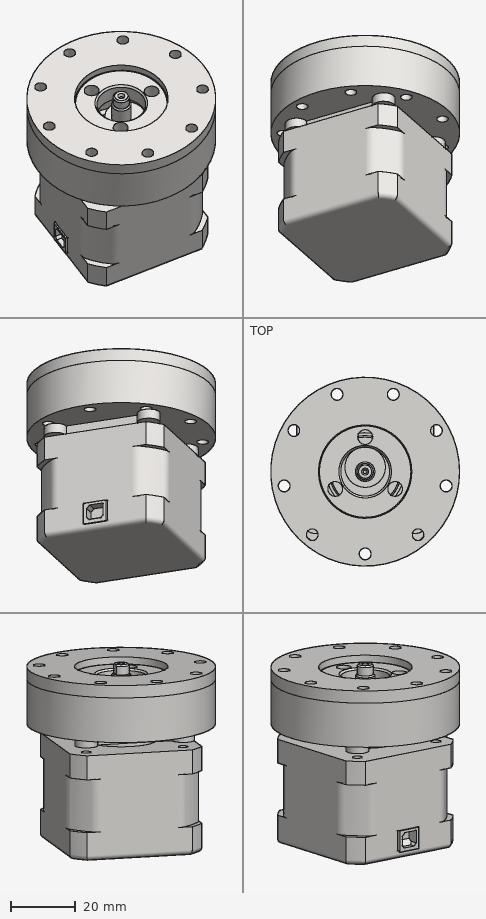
import cadquery as cq

total_height = 57.15
motor_top = 33.2
boss_top = 35.15
post_bottom = 35.2
housing_bottom = 38.25
housing_top = 52.3
cover_top = 56.2

motor_width = 42.3
motor_half = motor_width / 2
cap_corner_radius = 27.05
waist_corner_radius = 25.25
waist_fillet = 4.0
waist_bottom = 9.0
waist_top = 25.6
motor_base_fillet = 1.5
boss_diameter = 22.2
boss_chamfer = 0.45
bolt_spacing = 31.0
bolt_hole_diameter = 3.0
bolt_hole_depth = 4.5
shaft_diameter = 5.0
shaft_chamfer = 0.45
shaft_flat_offset = 2.0
shaft_flat_depth = 14.0
center_mouth_diameter = 2.15
center_hole_diameter = 1.15
center_cone_depth = 0.9
center_hole_depth = 1.75

slot_width = 8.3
slot_bottom = 2.5
slot_top = waist_bottom
slot_depth = 4.65
socket_left = -3.6
socket_right = 3.85
socket_bottom = 2.1
socket_protrusion = 0.5
mouth_left = -2.7
mouth_right = 2.8
mouth_top = 8.1
mouth_bottom = 3.25
mouth_top_chamfer = 1.05
mouth_bottom_chamfer = 0.9
ramp_top = 4.9
mouth_ramp_start = 1.7
mouth_depth = 3.5

gearbox_diameter = 58.3
cover_recess_diameter = 28.8
floor_bore_diameter = 24.0
screw_count = 9
screw_hole_diameter = 3.55
screw_circle_radius = 25.35
post_diameter = 7.1

carrier_diameter = 28.15
carrier_bottom = 48.4
carrier_top = 54.0
carrier_bore_diameter = 15.05
carrier_bore_chamfer = 0.6
carrier_hole_count = 3
carrier_hole_diameter = 4.55
carrier_hole_radius = 10.65

neck_diameter = 6.0
neck_top = carrier_top
neck_chamfer = 0.45
lobe_diameter = 12.5
lobe_offset = 1.4
lobe_top = 47.8
lobe_bottom = 40.8


def cylinder(diameter, bottom, top):
    return cq.Workplane("XY").workplane(offset=bottom).circle(diameter / 2).extrude(top - bottom)


def box(left, right, front, back, bottom, top):
    return cq.Workplane("XY").box(
        right - left, back - front, top - bottom, centered=False
    ).translate((left, front, bottom))


def hole_circle(count, radius, start_angle, diameter, bottom, top):
    """Upright cylinders evenly spaced on a circle around the axis."""
    return (
        cq.Workplane("XY")
        .workplane(offset=bottom)
        .polarArray(radius, start_angle, 360, count)
        .circle(diameter / 2)
        .extrude(top - bottom)
    )


def corner_cylinders(diameter, bottom, top):
    """Upright cylinders on the four corners of the bolt pattern."""
    return (
        cq.Workplane("XY")
        .workplane(offset=bottom)
        .rect(bolt_spacing, bolt_spacing, forConstruction=True)
        .vertices()
        .circle(diameter / 2)
        .extrude(top - bottom)
    )


def round_cornered_block(corner_radius, bottom, top):
    """The motor's square with its corners turned to a radius around the axis."""
    square = box(-motor_half, motor_half, -motor_half, motor_half, bottom, top)
    return square.intersect(cylinder(2 * corner_radius, bottom, top))


def shaft_envelope(bottom, top):
    """Round shaft with a flat on its +Y side near the top."""
    radius = shaft_diameter / 2
    flat = box(-radius, radius, shaft_flat_offset, radius, total_height - shaft_flat_depth, total_height)
    return cylinder(shaft_diameter, bottom, top).cut(flat)


def center_hole():
    """Countersunk centre hole with a conical end, in the top of the shaft."""
    mouth_radius = center_mouth_diameter / 2
    hole_radius = center_hole_diameter / 2
    profile = [
        (0, total_height),
        (mouth_radius, total_height),
        (hole_radius, total_height - center_cone_depth),
        (hole_radius, total_height - center_hole_depth),
        (0, total_height - center_hole_depth - hole_radius),
    ]
    return cq.Workplane("XZ").polyline(profile).close().revolve(360, (0, 0), (0, 1))


def make_motor():
    bottom_cap = round_cornered_block(cap_corner_radius, 0, waist_bottom)
    bottom_cap = bottom_cap.faces("<Z").edges().fillet(motor_base_fillet)
    waist = round_cornered_block(waist_corner_radius, waist_bottom, waist_top)
    waist = waist.edges("|Z").fillet(waist_fillet)
    top_cap = round_cornered_block(cap_corner_radius, waist_top, motor_top)
    boss = cylinder(boss_diameter, motor_top, boss_top).faces(">Z").chamfer(boss_chamfer)
    chamfered_rod = cylinder(shaft_diameter, boss_top, total_height).faces(">Z").chamfer(shaft_chamfer)
    motor_shaft = chamfered_rod.intersect(shaft_envelope(boss_top, total_height))
    slot = box(
        -slot_width / 2, slot_width / 2, -motor_half, -motor_half + slot_depth, slot_bottom, slot_top
    )
    bolt_holes = corner_cylinders(bolt_hole_diameter, motor_top - bolt_hole_depth, motor_top)

    body = bottom_cap.union(waist).union(top_cap).union(boss)
    body = body.union(motor_shaft)
    return body.cut(slot).cut(bolt_holes).cut(center_hole())


def make_socket():
    front = -motor_half - socket_protrusion
    back = -motor_half + slot_depth
    insert = box(socket_left, socket_right, -motor_half, back, slot_bottom, slot_top)
    flange = box(socket_left, socket_right, front, -motor_half, socket_bottom, slot_top)

    mouth = (
        cq.Workplane("XZ", origin=(0, front, 0))
        .moveTo(mouth_left, mouth_bottom + mouth_bottom_chamfer)
        .lineTo(mouth_left, mouth_top - mouth_top_chamfer)
        .lineTo(mouth_left + mouth_top_chamfer, mouth_top)
        .lineTo(mouth_right, mouth_top)
        .lineTo(mouth_right, mouth_bottom + mouth_bottom_chamfer)
        .lineTo(mouth_right - mouth_bottom_chamfer, mouth_bottom)
        .lineTo(mouth_left + mouth_bottom_chamfer, mouth_bottom)
        .close()
        .extrude(-mouth_depth)
    )
    ramp = (
        cq.Workplane("YZ", origin=(mouth_left, 0, 0))
        .moveTo(front + mouth_ramp_start, mouth_bottom)
        .lineTo(front + mouth_depth, ramp_top)
        .lineTo(front + mouth_depth, mouth_bottom)
        .close()
        .extrude(mouth_right - mouth_left)
    )
    return insert.union(flange).cut(mouth.cut(ramp))


def screw_holes():
    return hole_circle(
        screw_count, screw_circle_radius, -90, screw_hole_diameter, housing_bottom, cover_top
    )


def make_housing():
    half_spacing = bolt_spacing / 2
    drum = cylinder(gearbox_diameter, housing_bottom, housing_top)
    foot = box(-half_spacing, half_spacing, -half_spacing, half_spacing, post_bottom, housing_bottom)
    posts = corner_cylinders(post_diameter, post_bottom, housing_bottom)
    floor_bore = cylinder(floor_bore_diameter, post_bottom, housing_bottom)
    cavity = cylinder(carrier_diameter, housing_bottom, housing_top)
    return drum.union(foot).union(posts).cut(floor_bore).cut(cavity).cut(screw_holes())


def make_cover():
    plate = cylinder(gearbox_diameter, housing_top, cover_top)
    bore = cylinder(carrier_diameter, housing_top, cover_top)
    recess = cylinder(cover_recess_diameter, carrier_top, cover_top)
    return plate.cut(bore).cut(recess).cut(screw_holes())


def make_carrier():
    disc = cylinder(carrier_diameter, carrier_bottom, carrier_top)
    disc = disc.cut(cylinder(carrier_bore_diameter, carrier_bottom, carrier_top))
    disc = disc.faces(">Z").edges(cq.selectors.RadiusNthSelector(0)).chamfer(carrier_bore_chamfer)
    return disc.cut(
        hole_circle(
            carrier_hole_count, carrier_hole_radius, 90, carrier_hole_diameter, carrier_bottom, carrier_top
        )
    )


def make_eccentric():
    lobe = cylinder(lobe_diameter, lobe_bottom, lobe_top).translate((0, lobe_offset, 0))
    neck = cylinder(neck_diameter, lobe_top, neck_top).faces(">Z").chamfer(neck_chamfer)
    return lobe.union(neck).cut(shaft_envelope(lobe_bottom, neck_top))


motor = make_motor()
socket = make_socket()
housing = make_housing()
cover = make_cover()
carrier = make_carrier()
eccentric = make_eccentric()

result = cq.Compound.makeCompound(
    [motor.val(), socket.val(), housing.val(), cover.val(), carrier.val(), eccentric.val()]
)